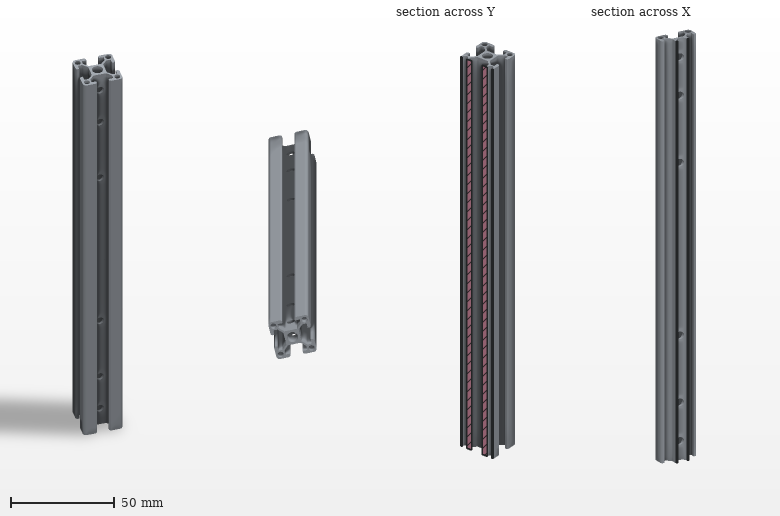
import cadquery as cq
import math

SIDE = 20.0
LENGTH = 220.0
HALF = SIDE / 2
CORNER_RADIUS = 1.65

SLOT_OPENING = 6.2
LIP_THICKNESS = 1.7
LIP_CHAMFER_WIDTH = 0.8
LIP_CHAMFER_DEPTH = 0.5
CORNER_BLOCK = 4.5
CORE_SIDE = 7.6
WEB_THICKNESS = 0.95

BORE_DIAMETER = 5.3
CAVITY_CENTRE = 7.7
CAVITY_DIAMETER = 2.9

CROSS_HOLE_DIAMETER = 4.0
CROSS_HOLE_END_OFFSETS = (10.0, 30.0, 65.0)

CORNER_COUNT = 4
WEB_ANGLE = 45.0


def make_core():
    """Square centre column."""
    return cq.Workplane("XY").rect(CORE_SIDE, CORE_SIDE).extrude(LENGTH)


def make_diagonal_web():
    """Thin plate running from the axis to the +X+Y corner block."""
    block_inside = HALF - CORNER_BLOCK
    overlap = WEB_THICKNESS
    reach = math.hypot(block_inside, block_inside) + overlap
    plate = cq.Workplane("XY").center(reach / 2, 0).rect(reach, WEB_THICKNESS).extrude(LENGTH)
    return plate.rotate((0, 0, 0), (0, 0, 1), WEB_ANGLE)


def make_corner():
    """Corner block at +X+Y with a chamfered lip along each outer side."""
    tip = SLOT_OPENING / 2
    shoulder = tip + LIP_CHAMFER_WIDTH
    tip_face = HALF - LIP_CHAMFER_DEPTH
    lip_inside = HALF - LIP_THICKNESS
    block_inside = HALF - CORNER_BLOCK
    outline = [
        (tip, tip_face),
        (tip, lip_inside),
        (block_inside, lip_inside),
        (block_inside, block_inside),
        (lip_inside, block_inside),
        (lip_inside, tip),
        (tip_face, tip),
        (HALF, shoulder),
        (HALF, HALF),
        (shoulder, HALF),
    ]
    corner = cq.Workplane("XY").polyline(outline).close().extrude(LENGTH)
    outer_edge = cq.selectors.NearestToPointSelector((HALF, HALF, LENGTH / 2))
    return corner.edges(outer_edge).fillet(CORNER_RADIUS)


def make_cavity():
    """Round hollow along the +X+Y corner block."""
    centre = cq.Workplane("XY").center(CAVITY_CENTRE, CAVITY_CENTRE)
    return centre.circle(CAVITY_DIAMETER / 2).extrude(LENGTH)


def make_bore():
    """Central bore along the whole length."""
    return cq.Workplane("XY").circle(BORE_DIAMETER / 2).extrude(LENGTH)


def make_cross_holes():
    """Holes along X through the core."""
    centres = []
    for offset in CROSS_HOLE_END_OFFSETS:
        centres.append((0, offset))
        centres.append((0, LENGTH - offset))
    holes = cq.Workplane("YZ").pushPoints(centres)
    return holes.circle(CROSS_HOLE_DIAMETER / 2).extrude(HALF, both=True)


def around_axis(solid):
    """Copies of the solid, one for each corner of the section."""
    step = 360 / CORNER_COUNT
    return [solid.rotate((0, 0, 0), (0, 0, 1), step * turn) for turn in range(CORNER_COUNT)]


profile = make_core()
for piece in around_axis(make_diagonal_web()) + around_axis(make_corner()):
    profile = profile.union(piece)
for hollow in around_axis(make_cavity()):
    profile = profile.cut(hollow)

result = profile.cut(make_bore()).cut(make_cross_holes())